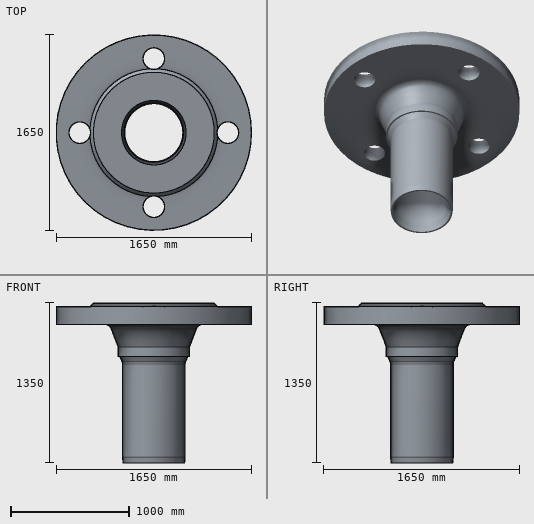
import cadquery as cq

total_height = 1350
flange_diameter = 1650
flange_thickness = 150
raised_face_diameter = 1020
raised_face_height = 30
bolt_circle_diameter = 1250
bolt_hole_diameter = 180
bolt_hole_count = 4
neck_diameter = 603
neck_root_diameter = 748
neck_root_radius = 56
neck_taper_end_z = -369
neck_taper_radius = 25
bore_diameter = 545

pipe_diameter = 530
pipe_wall = 15
flare_height = 52
flare_bend_radius = 47
swage_height = 50
swage_reduction = 10
swage_bend_radius = 30

flange_top_z = -raised_face_height
flange_bottom_z = flange_top_z - flange_thickness
joint_z = -450
flare_end_z = joint_z - flare_height
pipe_bottom_z = -total_height
swage_start_z = pipe_bottom_z + swage_height


def make_turned_body(corners):
    """Turn an outline of (radius, Z, corner rounding) corners about the Z axis."""
    outline = cq.Wire.makePolygon([cq.Vector(radius, 0, z) for radius, z, _ in corners], close=True)
    section = cq.Face.makeFromWires(outline)
    for radius, z, rounding in corners:
        if rounding > 0:
            corner = cq.Workplane(section).vertices(cq.NearestToPointSelector((radius, 0, z)))
            section = section.fillet2D(rounding, corner.vals())
    return cq.Workplane(cq.Solid.revolve(section, 360, cq.Vector(0, 0, 0), cq.Vector(0, 0, 1)))


def make_flange():
    bore_r = bore_diameter / 2
    face_r = raised_face_diameter / 2
    neck_r = neck_diameter / 2
    root_r = neck_root_diameter / 2
    flange_r = flange_diameter / 2
    body = make_turned_body([
        (bore_r, 0, 0),
        (face_r, 0, 0),
        (face_r + raised_face_height, flange_top_z, 0),
        (flange_r, flange_top_z, 0),
        (flange_r, flange_bottom_z, 0),
        (root_r, flange_bottom_z, neck_root_radius),
        (neck_r, neck_taper_end_z, neck_taper_radius),
        (neck_r, joint_z, 0),
        (bore_r, joint_z, 0),
    ])
    bolt_holes = (
        cq.Workplane("XY", origin=(0, 0, flange_bottom_z))
        .polarArray(bolt_circle_diameter / 2, 0, 360, bolt_hole_count)
        .circle(bolt_hole_diameter / 2)
        .extrude(flange_thickness + raised_face_height)
    )
    return body.cut(bolt_holes)


def make_pipe():
    flare_r = bore_diameter / 2
    outer_r = pipe_diameter / 2
    inner_r = outer_r - pipe_wall
    swage_step = swage_reduction / 2
    return make_turned_body([
        (flare_r, joint_z, 0),
        (flare_r + pipe_wall, joint_z, 0),
        (outer_r, flare_end_z, flare_bend_radius),
        (outer_r, swage_start_z, swage_bend_radius + pipe_wall),
        (outer_r - swage_step, pipe_bottom_z, 0),
        (inner_r - swage_step, pipe_bottom_z, 0),
        (inner_r, swage_start_z, swage_bend_radius),
        (inner_r, flare_end_z, flare_bend_radius + pipe_wall),
    ])


flange = make_flange()
pipe = make_pipe()

result = cq.Compound.makeCompound([flange.val(), pipe.val()])